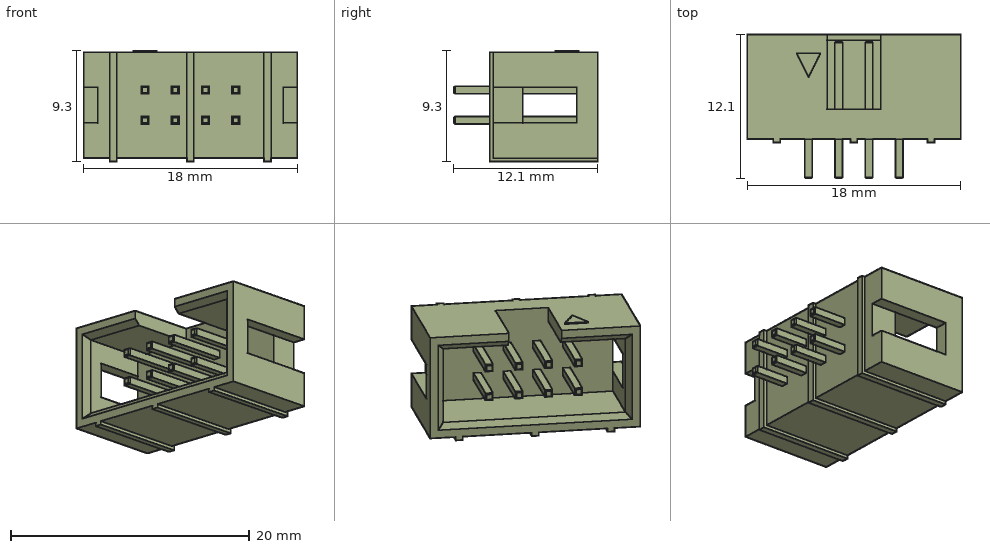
import cadquery as cq


body_width = 17.96
body_depth = 8.8
body_height = 8.9
wall = 1.2
cavity_depth = 6.3
mouth_chamfer = 0.5

notch_width = 4.5

slot_height = 3.0
slot_setback = 1.8

rib_width = 0.6
rib_height = 0.3
rib_inset = 2.5
rib_pitch = body_width / 2 - rib_inset
rib_positions = (-rib_pitch, 0.0, rib_pitch)

pin_pitch = 2.54
pin_columns = 4
pin_rows = 2
pin_size = 0.64
pin_tip_chamfer = 0.1
pin_setback = 0.6
overall_depth = 12.1
pin_length = overall_depth - pin_setback

mark_size = 2.0
mark_height = 0.1
mark_setback = 1.6

top_z = body_height / 2
bottom_z = -body_height / 2


def block(width, depth, height, x=0.0, y_front=0.0, z=0.0):
    """Box centred on x and z that runs from y_front towards -Y."""
    return cq.Workplane("XY").box(width, depth, height).translate((x, y_front - depth / 2, z))


def centred_positions(count, pitch):
    """Evenly spaced positions, symmetric about zero."""
    return [(i - (count - 1) / 2) * pitch for i in range(count)]


def make_shroud():
    """Open box with a chamfered mouth."""
    cavity = block(body_width - 2 * wall, cavity_depth, body_height - 2 * wall)
    shroud = block(body_width, body_depth, body_height).cut(cavity)
    inner_mouth_edges = shroud.faces(">Y").val().innerWires()[0].Edges()
    return shroud.newObject(inner_mouth_edges).chamfer(mouth_chamfer)


def make_notch():
    """Cutter through the top wall, down to the cavity floor."""
    return block(notch_width, cavity_depth, wall, z=top_z - wall / 2)


def make_latch_slot(side):
    """Cutter through one end wall, open at the back; side is -1 or +1."""
    slot_x = side * (body_width - wall) / 2
    return block(wall, body_depth - slot_setback, slot_height, x=slot_x, y_front=-slot_setback)


def make_rib(x):
    """L-shaped rib: a bar along the underside and a bar up the back, joined at the corner."""
    outer_depth = body_depth + rib_height
    outer_height = body_height + rib_height
    underside_bar = block(rib_width, outer_depth, rib_height, x=x, z=bottom_z - rib_height / 2)
    back_bar = block(rib_width, rib_height, outer_height, x=x, y_front=-body_depth, z=-rib_height / 2)
    return underside_bar.union(back_bar)


def make_pin(x, z):
    """Square pin with chamfered tips, standing through the cavity floor."""
    pin = block(pin_size, pin_length, pin_size, x=x, y_front=-pin_setback, z=z)
    return pin.faces("<Y or >Y").edges().chamfer(pin_tip_chamfer)


def make_pin_one_mark():
    """Raised triangle on the top wall, pointing to the back above the first pin column."""
    mark_x = centred_positions(pin_columns, pin_pitch)[0]
    corners = [
        (mark_x - mark_size / 2, -mark_setback),
        (mark_x + mark_size / 2, -mark_setback),
        (mark_x, -mark_setback - mark_size),
    ]
    return cq.Workplane("XY", origin=(0, 0, top_z)).polyline(corners).close().extrude(mark_height)


result = make_shroud().cut(make_notch())

for end_side in (-1, 1):
    result = result.cut(make_latch_slot(end_side))

for rib_x in rib_positions:
    result = result.union(make_rib(rib_x))

for pin_x in centred_positions(pin_columns, pin_pitch):
    for pin_z in centred_positions(pin_rows, pin_pitch):
        result = result.union(make_pin(pin_x, pin_z))

result = result.union(make_pin_one_mark())